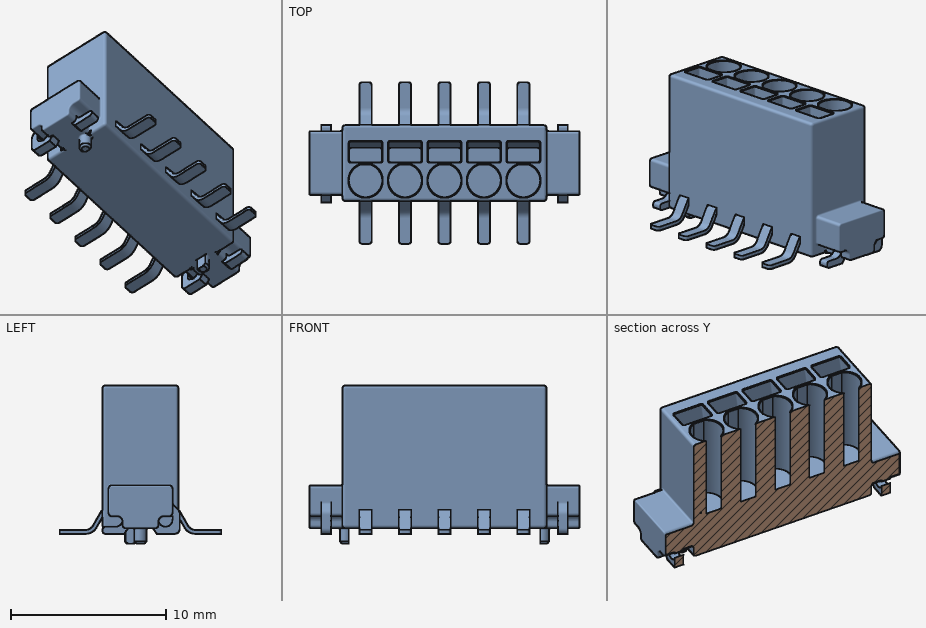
import cadquery as cq
import math

POLES = 5
PITCH = 2.54

HOUSING_LENGTH = 13.14
HOUSING_WIDTH = 4.9
HOUSING_HEIGHT = 9.2
STANDOFF = 0.37
HOUSING_TOP = STANDOFF + HOUSING_HEIGHT
HOUSING_END = HOUSING_LENGTH / 2
EDGE_RADIUS = 0.2

RIM_CHAMFER = 0.05
BORE_DIAMETER = 2.14
BORE_CENTRE_Y = -1.125
BORE_FLAT_Y = -0.12
BORE_DEPTH = 6.0
POCKET_LENGTH = 2.1
POCKET_BACK_Y = 1.38
POCKET_FRONT_Y = 0.06
POCKET_FLOOR_BACK_Y = 0.97
POCKET_DEPTH = 1.5
POCKET_CORNER_RADIUS = 0.1

PART_LENGTH = 17.39
BLOCK_END = PART_LENGTH / 2
BLOCK_HALF_WIDTH = 2.06
BLOCK_TOP = 3.13
FOOT_HALF_WIDTH = 1.15
NOTCH_TOP = 1.15
NOTCH_RADIUS = 0.36
BLOCK_END_RADIUS = 0.1
ROOT_RADIUS = 0.12
BLOCK_OVERLAP = 0.3
BLOCK_MIDDLE_X = (HOUSING_END + BLOCK_END) / 2

LEAD_WIDTH = 0.8
LEAD_THICKNESS = 0.27
PART_WIDTH = 10.42
LEAD_TIP_Y = PART_WIDTH / 2
FOOT_BEND_Y = 3.54
LEAD_ANGLE = math.radians(60)
LEAD_SLOPE_LENGTH = 0.97
BEND_INNER_RADIUS = 0.55
BEND_OUTER_RADIUS = BEND_INNER_RADIUS + LEAD_THICKNESS
LEAD_INNER_Y = 1.0
LEAD_CORNER_RADIUS = 0.2

CLIP_X = 3 * PITCH
CLIP_WIDTH = 0.65
CLIP_HOOK_Y = -2.54
CLIP_TAB_Y = 2.45
CLIP_FLOOR = 0.47
CLIP_SLOT_RADIUS = (BLOCK_HALF_WIDTH - FOOT_HALF_WIDTH) / 2
CLIP_ARCH_BOTTOM_Y = 1.05
CLIP_ARCH_TOP_Y = 0.79
HOOK_CORNER_RADIUS = 0.36
HOOK_SHOULDER_Z = 1.25
HOOK_SHOULDER_RADIUS = 0.5
HOOK_ROOT_RADIUS = 0.26
TAB_RADIUS = 0.2

PEG_X = 2.5 * PITCH
PEG_RADIUS = 0.39
PEG_BOTTOM = -0.63
PEG_CHAMFER = 0.15
PEG_ROOT_RADIUS = 0.1
PEG_FLAT_OFFSET = 0.2
PEG_CORE_TOP = 1.0
LEFT_PEG_Y = 0.0
RIGHT_PEG_Y = 0.63

POLE_POSITIONS = [(i - (POLES - 1) / 2) * PITCH for i in range(POLES)]


def arc_point(centre, radius, degrees):
    """Point at the given angle on a circle in a sketch plane."""
    angle = math.radians(degrees)
    return (centre[0] + radius * math.cos(angle), centre[1] + radius * math.sin(angle))


def make_housing():
    """Rounded box with a wire bore and a release pocket for every pole."""
    housing = cq.Workplane("XY").box(
        HOUSING_LENGTH, HOUSING_WIDTH, HOUSING_HEIGHT, centered=(True, True, False)
    )
    housing = housing.edges().fillet(EDGE_RADIUS).translate((0, 0, STANDOFF))
    bore = make_bore()
    pocket = make_pocket()
    for x in POLE_POSITIONS:
        housing = housing.cut(bore.translate((x, 0, 0)))
        housing = housing.cut(pocket.translate((x, 0, 0)))
    openings = housing.faces(">Z").val().innerWires()
    rims = [edge for opening in openings for edge in opening.Edges()]
    return housing.newObject(rims).chamfer(RIM_CHAMFER)


def make_bore():
    """Blind round bore with a flat along its +Y side."""
    radius = BORE_DIAMETER / 2
    half_flat = math.sqrt(radius**2 - (BORE_FLAT_Y - BORE_CENTRE_Y) ** 2)
    return (
        cq.Workplane("XY", origin=(0, 0, HOUSING_TOP))
        .moveTo(-half_flat, BORE_FLAT_Y)
        .threePointArc((0, BORE_CENTRE_Y - radius), (half_flat, BORE_FLAT_Y))
        .close()
        .extrude(-BORE_DEPTH)
    )


def make_pocket():
    """Rectangular pocket whose +Y wall slopes inward towards the floor."""
    floor = HOUSING_TOP - POCKET_DEPTH
    pocket = (
        cq.Workplane("YZ")
        .polyline(
            [
                (POCKET_FRONT_Y, HOUSING_TOP),
                (POCKET_BACK_Y, HOUSING_TOP),
                (POCKET_FLOOR_BACK_Y, floor),
                (POCKET_FRONT_Y, floor),
            ]
        )
        .close()
        .extrude(POCKET_LENGTH / 2, both=True)
    )
    upright_edges = pocket.faces("<X or >X").edges("not #Z")
    return upright_edges.fillet(POCKET_CORNER_RADIUS)


def make_block_section():
    """T-shaped bar: a wide top on a narrower foot, with rounded notches between them."""
    wide = BLOCK_HALF_WIDTH
    foot = FOOT_HALF_WIDTH
    bar = (
        cq.Workplane("YZ", origin=(HOUSING_END - BLOCK_OVERLAP, 0, 0))
        .polyline(
            [
                (-foot, STANDOFF),
                (foot, STANDOFF),
                (foot, NOTCH_TOP),
                (wide, NOTCH_TOP),
                (wide, BLOCK_TOP),
                (-wide, BLOCK_TOP),
                (-wide, NOTCH_TOP),
                (-foot, NOTCH_TOP),
            ]
        )
        .close()
        .extrude(BLOCK_END - HOUSING_END + BLOCK_OVERLAP)
    )
    for y in (-foot, foot):
        inner_corner = cq.selectors.NearestToPointSelector((BLOCK_MIDDLE_X, y, NOTCH_TOP))
        bar = bar.edges("|X").edges(inner_corner).fillet(NOTCH_RADIUS)
    for y, z in ((wide, BLOCK_TOP), (wide, NOTCH_TOP), (foot, STANDOFF)):
        for side in (-1, 1):
            outer_corner = cq.selectors.NearestToPointSelector((BLOCK_MIDDLE_X, side * y, z))
            bar = bar.edges("|X").edges(outer_corner).fillet(EDGE_RADIUS)
    return bar


def make_end_block():
    """Right-hand end block, rounded at its outer end and flared where it meets the housing."""
    block = make_block_section().faces(">X").edges().fillet(BLOCK_END_RADIUS)
    wall = cq.Workplane("XY", origin=(HOUSING_END - BLOCK_OVERLAP, 0, 0)).box(
        BLOCK_OVERLAP, HOUSING_LENGTH, HOUSING_LENGTH, centered=(False, True, True)
    )
    root = cq.selectors.BoxSelector(
        (HOUSING_END - ROOT_RADIUS / 2, -HOUSING_WIDTH / 2, 0),
        (HOUSING_END + ROOT_RADIUS / 2, HOUSING_WIDTH / 2, HOUSING_TOP / 2),
    )
    flared = wall.union(block).edges(root).fillet(ROOT_RADIUS).cut(wall)
    above_underside = cq.Workplane("XY", origin=(0, 0, STANDOFF)).box(
        PART_LENGTH, HOUSING_WIDTH, HOUSING_HEIGHT, centered=(True, True, False)
    )
    return flared.intersect(above_underside).union(block)


def make_lead():
    """Gull-wing lead on the +Y side, from inside the housing down to its flat foot."""
    sine = math.sin(LEAD_ANGLE)
    cosine = math.cos(LEAD_ANGLE)
    lower_centre = (FOOT_BEND_Y, LEAD_THICKNESS + BEND_INNER_RADIUS)
    lower_y = FOOT_BEND_Y - BEND_INNER_RADIUS * sine
    lower_z = lower_centre[1] - BEND_INNER_RADIUS * cosine
    upper_centre = (
        lower_y - LEAD_SLOPE_LENGTH * cosine - BEND_OUTER_RADIUS * sine,
        lower_z + LEAD_SLOPE_LENGTH * sine - BEND_OUTER_RADIUS * cosine,
    )
    slope = math.degrees(LEAD_ANGLE)
    upper_end = 90 - slope
    lower_start = 270 - slope
    upper_mid = 90 - slope / 2
    lower_mid = 270 - slope / 2
    lead = (
        cq.Workplane("YZ")
        .moveTo(LEAD_INNER_Y, upper_centre[1] + BEND_OUTER_RADIUS)
        .lineTo(*arc_point(upper_centre, BEND_OUTER_RADIUS, 90))
        .threePointArc(
            arc_point(upper_centre, BEND_OUTER_RADIUS, upper_mid),
            arc_point(upper_centre, BEND_OUTER_RADIUS, upper_end),
        )
        .lineTo(*arc_point(lower_centre, BEND_INNER_RADIUS, lower_start))
        .threePointArc(
            arc_point(lower_centre, BEND_INNER_RADIUS, lower_mid),
            arc_point(lower_centre, BEND_INNER_RADIUS, 270),
        )
        .lineTo(LEAD_TIP_Y, LEAD_THICKNESS)
        .lineTo(LEAD_TIP_Y, 0)
        .lineTo(FOOT_BEND_Y, 0)
        .threePointArc(
            arc_point(lower_centre, BEND_OUTER_RADIUS, lower_mid),
            arc_point(lower_centre, BEND_OUTER_RADIUS, lower_start),
        )
        .lineTo(*arc_point(upper_centre, BEND_INNER_RADIUS, upper_end))
        .threePointArc(
            arc_point(upper_centre, BEND_INNER_RADIUS, upper_mid),
            arc_point(upper_centre, BEND_INNER_RADIUS, 90),
        )
        .lineTo(LEAD_INNER_Y, upper_centre[1] + BEND_INNER_RADIUS)
        .close()
        .extrude(LEAD_WIDTH / 2, both=True)
    )
    return lead.faces(">Y").edges("|Z").fillet(LEAD_CORNER_RADIUS)


def make_clip():
    """Flat clip spanning the end block's foot: a tab towards +Y and a tall hook towards -Y."""
    wall_y = FOOT_HALF_WIDTH
    slot_z = CLIP_FLOOR + CLIP_SLOT_RADIUS
    slot_centre = (-wall_y - CLIP_SLOT_RADIUS, slot_z)
    tab_centre = (wall_y + CLIP_SLOT_RADIUS, slot_z)
    shoulder_centre = (CLIP_HOOK_Y + HOOK_SHOULDER_RADIUS, HOOK_SHOULDER_Z)
    shoulder_end = arc_point(shoulder_centre, HOOK_SHOULDER_RADIUS, 135)
    root_y = -BLOCK_HALF_WIDTH - HOOK_ROOT_RADIUS * (1 - math.cos(math.pi / 4))
    root_z = shoulder_end[1] + root_y - shoulder_end[0]
    hook_top = root_z + HOOK_ROOT_RADIUS * math.sin(math.pi / 4)
    root_centre = (-BLOCK_HALF_WIDTH - HOOK_ROOT_RADIUS, hook_top)
    clip = (
        cq.Workplane("YZ")
        .moveTo(CLIP_TAB_Y, 0)
        .lineTo(CLIP_TAB_Y, CLIP_FLOOR)
        .lineTo(tab_centre[0], CLIP_FLOOR)
        .threePointArc(arc_point(tab_centre, CLIP_SLOT_RADIUS, 225), (wall_y, slot_z))
        .lineTo(wall_y, hook_top)
        .lineTo(-BLOCK_HALF_WIDTH, hook_top)
        .threePointArc(arc_point(root_centre, HOOK_ROOT_RADIUS, -22.5), (root_y, root_z))
        .lineTo(*shoulder_end)
        .threePointArc(
            arc_point(shoulder_centre, HOOK_SHOULDER_RADIUS, 157.5),
            (CLIP_HOOK_Y, HOOK_SHOULDER_Z),
        )
        .lineTo(CLIP_HOOK_Y, 0)
        .lineTo(-CLIP_ARCH_BOTTOM_Y, 0)
        .lineTo(-CLIP_ARCH_TOP_Y, STANDOFF)
        .lineTo(-CLIP_ARCH_TOP_Y, CLIP_FLOOR)
        .lineTo(CLIP_ARCH_TOP_Y, CLIP_FLOOR)
        .lineTo(CLIP_ARCH_TOP_Y, STANDOFF)
        .lineTo(CLIP_ARCH_BOTTOM_Y, 0)
        .close()
        .extrude(CLIP_WIDTH / 2, both=True)
    )
    slot = (
        cq.Workplane("YZ")
        .center(slot_centre[0], (slot_z + NOTCH_TOP) / 2)
        .rect(2 * CLIP_SLOT_RADIUS, NOTCH_TOP - slot_z)
        .extrude(CLIP_WIDTH, both=True)
    )
    slot_end = cq.Workplane("YZ").center(*slot_centre).circle(CLIP_SLOT_RADIUS)
    slot_end = slot_end.extrude(CLIP_WIDTH, both=True)
    clip = clip.cut(slot).cut(slot_end)
    clip = clip.faces("<Y").edges("<Z").fillet(HOOK_CORNER_RADIUS)
    return clip.faces(">Y").edges("|X").fillet(TAB_RADIUS)


def make_peg():
    """Right-hand locating peg with a chamfered tip, a flared root and a flat towards -X."""
    flare_radius = PEG_RADIUS + PEG_ROOT_RADIUS
    flare_centre = (flare_radius, STANDOFF - PEG_ROOT_RADIUS)
    peg = (
        cq.Workplane("XZ")
        .moveTo(0, PEG_BOTTOM)
        .lineTo(PEG_RADIUS - PEG_CHAMFER, PEG_BOTTOM)
        .lineTo(PEG_RADIUS, PEG_BOTTOM + PEG_CHAMFER)
        .lineTo(PEG_RADIUS, flare_centre[1])
        .threePointArc(arc_point(flare_centre, PEG_ROOT_RADIUS, 135), (flare_radius, STANDOFF))
        .lineTo(PEG_RADIUS, STANDOFF)
        .lineTo(PEG_RADIUS, PEG_CORE_TOP)
        .lineTo(0, PEG_CORE_TOP)
        .close()
        .revolve(360, (0, 0, 0), (0, 1, 0))
    )
    kept_side = cq.Workplane("XY", origin=(-PEG_FLAT_OFFSET, 0, 0)).box(
        PITCH, PITCH, 2 * PEG_CORE_TOP, centered=(False, True, True)
    )
    return peg.intersect(kept_side).translate((PEG_X, 0, 0))


def make_part():
    part = make_housing()
    end_block = make_end_block().union(make_clip().translate((CLIP_X, 0, 0)))
    part = part.union(end_block).union(end_block.mirror("YZ"))
    peg = make_peg()
    part = part.union(peg.translate((0, RIGHT_PEG_Y, 0)))
    part = part.union(peg.mirror("YZ").translate((0, LEFT_PEG_Y, 0)))
    lead = make_lead()
    mirrored_lead = lead.mirror("XZ")
    for x in POLE_POSITIONS:
        part = part.union(lead.translate((x, 0, 0)))
        part = part.union(mirrored_lead.translate((x, 0, 0)))
    return part


result = make_part()